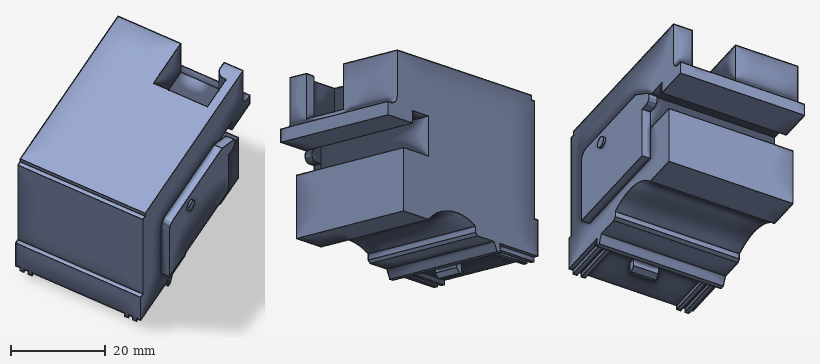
import cadquery as cq
import math

LENGTH = 48.0
WIDTH = 30.05
HEIGHT = 35.05
STEP = 1.0

LOWER_FRONT_HEIGHT = 8.0
LOWER_REAR_Y = 43.0
UPPER_REAR_Y = LENGTH - 3.0
SLOT_WALL_Y = 35.05
SLOT_FLOOR_Z = 13.95
SLOT_CEILING_Z = 22.8
LIP_INNER_Y = 40.1
LIP_BOTTOM_Z = 20.05
LIP_TOP_Z = 23.0
LIP_FILLET = 2.0
ARCH_TOP_Y = 26.15
ARCH_TOP_Z = 3.6
ARCH_FRONT_Y = 19.95
ARCH_FRONT_Z = 1.95
ARCH_EDGE_CHAMFER = 0.6

HOOK_REAR_Y = 14.0
HOOK_TIP_Y = 13.05
HOOK_FRONT_Y = 12.05
HOOK_DEPTH = 2 * STEP
RAIL_WIDTH = 0.95
RAIL_EDGE_DISTANCES = (1.0, 3.0)
TAB_LEFT_X = 14.0
TAB_WIDTH = 5.95
TAB_FRONT_Y = 8.45
TAB_REAR_Y = 10.0
TAB_DEPTH = 3.0
TAB_CHAMFER = 1.0

POCKET_LEFT_X = 15.05
POCKET_RIGHT_X = 28.05
POCKET_FRONT_Y = 33.0
POCKET_FLOOR_Z = LIP_TOP_Z + LIP_FILLET
POST_LEFT_X = 25.5
POST_FRONT_Y = 41.3
POST_RADIUS = 2.0

PLATE_THICKNESS = 1.95
PLATE_FRONT_Y = 9.0
PLATE_BOTTOM_Z = 6.05
PLATE_TOP_Z = 24.0
PLATE_FILLET = 2.0
NOSE_RADIUS = 1.5
NOSE_TIP_Y = 37.95
NOSE_BOTTOM_Z = 18.35
SLOPE_ANGLE = math.radians(30)
BUTTON_RADIUS = 1.25
BUTTON_HEIGHT = 32.5 - WIDTH - PLATE_THICKNESS
BUTTON_Y = 17.95
BUTTON_Z = 20.8


def box(x0, x1, y0, y1, z0, z1):
    """Block given by its limits along each axis."""
    return cq.Workplane("XY").box(x1 - x0, y1 - y0, z1 - z0, centered=False).translate((x0, y0, z0))


def make_shell():
    """Side profile with the arch and the hook, extruded across the width."""
    fillet_middle = LIP_FILLET * (1 - math.sqrt(0.5))
    return (
        cq.Workplane("YZ")
        .moveTo(0, 0)
        .lineTo(0, LOWER_FRONT_HEIGHT)
        .lineTo(STEP, LOWER_FRONT_HEIGHT)
        .lineTo(STEP, HEIGHT - STEP)
        .lineTo(2 * STEP, HEIGHT - STEP)
        .lineTo(2 * STEP, HEIGHT)
        .lineTo(UPPER_REAR_Y, HEIGHT)
        .lineTo(UPPER_REAR_Y, LIP_TOP_Z + LIP_FILLET)
        .threePointArc(
            (UPPER_REAR_Y + fillet_middle, LIP_TOP_Z + fillet_middle),
            (UPPER_REAR_Y + LIP_FILLET, LIP_TOP_Z),
        )
        .lineTo(LENGTH, LIP_TOP_Z)
        .lineTo(LENGTH, LIP_BOTTOM_Z)
        .lineTo(LIP_INNER_Y, LIP_BOTTOM_Z)
        .lineTo(LIP_INNER_Y, SLOT_CEILING_Z)
        .lineTo(SLOT_WALL_Y, SLOT_CEILING_Z)
        .lineTo(SLOT_WALL_Y, SLOT_FLOOR_Z)
        .lineTo(LOWER_REAR_Y, SLOT_FLOOR_Z)
        .lineTo(LOWER_REAR_Y, 0)
        .lineTo(SLOT_WALL_Y, 0)
        .threePointArc((ARCH_TOP_Y, ARCH_TOP_Z), (ARCH_FRONT_Y, ARCH_FRONT_Z))
        .lineTo(ARCH_FRONT_Y, ARCH_EDGE_CHAMFER)
        .lineTo(ARCH_FRONT_Y - ARCH_EDGE_CHAMFER, 0)
        .lineTo(HOOK_REAR_Y, 0)
        .lineTo(HOOK_TIP_Y, -HOOK_DEPTH)
        .lineTo(HOOK_FRONT_Y, -HOOK_DEPTH)
        .lineTo(HOOK_FRONT_Y, 0)
        .close()
        .extrude(WIDTH)
    )


def make_pocket():
    """Pocket volume, leaving a post with one rounded corner at its rear right."""
    pocket = box(POCKET_LEFT_X, POCKET_RIGHT_X, POCKET_FRONT_Y, UPPER_REAR_Y, POCKET_FLOOR_Z, HEIGHT)
    post = box(POST_LEFT_X, WIDTH, POST_FRONT_Y, UPPER_REAR_Y, POCKET_FLOOR_Z, HEIGHT)
    post = post.edges("|Z and <X and <Y").fillet(POST_RADIUS)
    return pocket.cut(post)


def make_rails():
    """Two short rails near each side of the underside, running from the front face to the hook."""
    rails = []
    for distance in RAIL_EDGE_DISTANCES:
        for left_x in (distance, WIDTH - distance - RAIL_WIDTH):
            rails.append(box(left_x, left_x + RAIL_WIDTH, 0, HOOK_FRONT_Y, -STEP, 0))
    return rails


def make_tab():
    """Central tab below the underside, chamfered at its lower rear edge."""
    tab = box(TAB_LEFT_X, TAB_LEFT_X + TAB_WIDTH, TAB_FRONT_Y, TAB_REAR_Y, -TAB_DEPTH, 0)
    return tab.edges("|X and >Y and <Z").chamfer(TAB_CHAMFER)


def make_housing():
    housing = make_shell().cut(make_pocket())
    for rail in make_rails():
        housing = housing.union(rail)
    return housing.union(make_tab())


def make_side_plate():
    """Plate on the right side with a sloped, round nose at the rear and a small round button."""
    nose_y = NOSE_TIP_Y - NOSE_RADIUS
    nose_z = NOSE_BOTTOM_Z + NOSE_RADIUS
    tangent_y = nose_y + NOSE_RADIUS * math.sin(SLOPE_ANGLE)
    tangent_z = nose_z + NOSE_RADIUS * math.cos(SLOPE_ANGLE)
    slope_top_y = tangent_y - (PLATE_TOP_Z - tangent_z) / math.tan(SLOPE_ANGLE)
    plate = (
        cq.Workplane("YZ", origin=(WIDTH, 0, 0))
        .moveTo(PLATE_FRONT_Y, PLATE_BOTTOM_Z)
        .lineTo(PLATE_FRONT_Y, PLATE_TOP_Z)
        .lineTo(slope_top_y, PLATE_TOP_Z)
        .lineTo(tangent_y, tangent_z)
        .threePointArc((NOSE_TIP_Y, nose_z), (nose_y, NOSE_BOTTOM_Z))
        .lineTo(SLOT_WALL_Y, NOSE_BOTTOM_Z)
        .lineTo(SLOT_WALL_Y, PLATE_BOTTOM_Z)
        .close()
        .extrude(PLATE_THICKNESS)
        .edges("|X and <Y and >Z")
        .fillet(PLATE_FILLET)
    )
    button = (
        cq.Workplane("YZ", origin=(WIDTH + PLATE_THICKNESS, 0, 0))
        .center(BUTTON_Y, BUTTON_Z)
        .circle(BUTTON_RADIUS)
        .extrude(BUTTON_HEIGHT)
    )
    return plate.union(button)


housing = make_housing()
side_plate = make_side_plate()
result = cq.Compound.makeCompound([housing.val(), side_plate.val()])